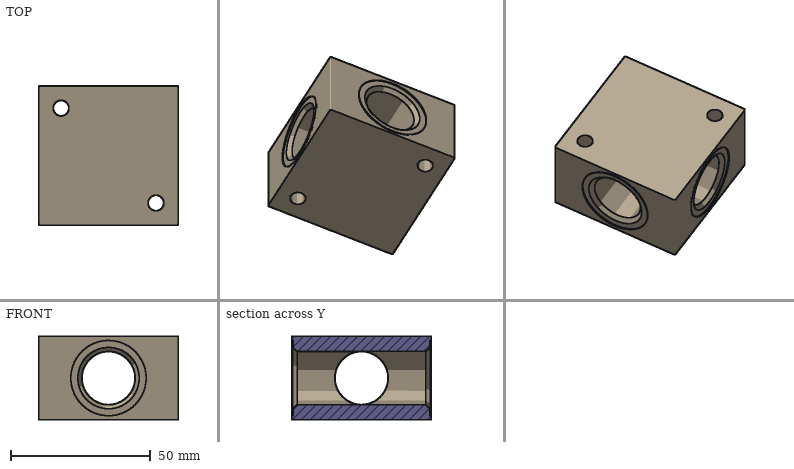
import cadquery as cq

side = 50.0
height = 30.0
edge_radius = 0.5

bore_diameter = 19.0
mouth_diameter = 22.0
mouth_depth = (mouth_diameter - bore_diameter) / 2
spotface_diameter = 27.0
spotface_depth = 0.4

mount_diameter = 5.5
mount_offset = 17.0


def port_end():
    """Half of a port along -Y: bore, conical mouth and shallow spotface, revolved about Y."""
    face = -side / 2
    seat = face + spotface_depth
    profile = [
        (0, 0),
        (bore_diameter / 2, 0),
        (bore_diameter / 2, seat + mouth_depth),
        (mouth_diameter / 2, seat),
        (spotface_diameter / 2, seat),
        (spotface_diameter / 2, face),
        (0, face),
    ]
    return cq.Workplane("XY").polyline(profile).close().revolve(360, (0, 0), (0, 1))


block = cq.Workplane("XY").box(side, side, height).edges("|Z").fillet(edge_radius)

for quarter_turn in range(4):
    block = block.cut(port_end().rotate((0, 0, 0), (0, 0, 1), 90 * quarter_turn))

mount_holes = (
    cq.Workplane("XY")
    .pushPoints([(-mount_offset, mount_offset), (mount_offset, -mount_offset)])
    .circle(mount_diameter / 2)
    .extrude(height, both=True)
)

result = block.cut(mount_holes)